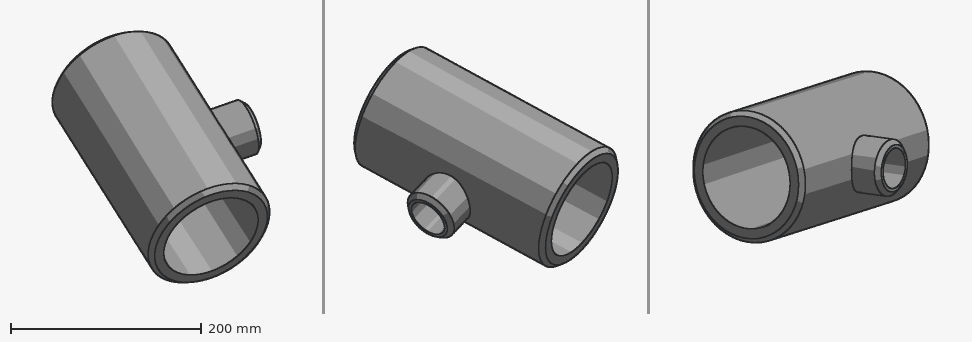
import cadquery as cq

pipe_length = 248.0
pipe_diameter = 141.3
pipe_bore = 109.5

branch_diameter = 60.5
branch_bore = 43.0
branch_reach = 104.5

end_chamfer = 5.2


def cylinder_along_x(diameter):
    """Cylinder of the pipe's length, centred on the origin."""
    return cq.Workplane("YZ").circle(diameter / 2).extrude(pipe_length / 2, both=True)


def cylinder_along_y(diameter):
    """Cylinder from the pipe axis out to the branch end."""
    return cq.Workplane("XZ").circle(diameter / 2).extrude(-branch_reach)


pipe = cylinder_along_x(pipe_diameter).faces("<X or >X").chamfer(end_chamfer)
branch = cylinder_along_y(branch_diameter).faces(">Y").chamfer(end_chamfer)

result = (
    pipe.union(branch)
    .cut(cylinder_along_x(pipe_bore))
    .cut(cylinder_along_y(branch_bore))
)